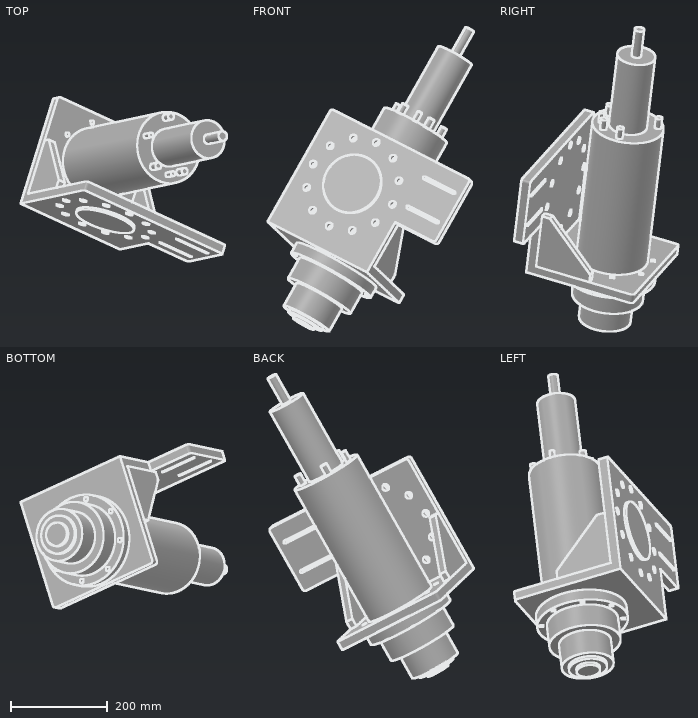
import cadquery as cq
import math


SPIN = -32.9
TILT = 30.0
AZIMUTH = 12.0

PLATE = 20.0
WIDTH = 250.0
DEPTH = 240.0
HEIGHT = 270.0
TAB_LENGTH = 100.0
TAB_BOTTOM = 120.0
CORNER = 6.0
AXIS_SETBACK = 140.0
LEFT = -WIDTH / 2
RIGHT = WIDTH / 2
FRONT = -AXIS_SETBACK

BOSS_RADIUS = 62.5
BOSS_HEIGHT = 5.0
BOSS_Z = 150.0
FACE_HOLE_COUNT = 12
FACE_HOLE_CIRCLE = 100.0
FACE_HOLE_RADIUS = 7.0

SLOT_LENGTH = 80.0
SLOT_WIDTH = 5.5
SLOT_X = 170.0
SLOT_PITCH = 70.0

GUSSET_LEG = 120.0
GUSSET_TOE = 17.5
GUSSET_THICKNESS = 15.0

FLANGE_RADIUS = 94.5
FLANGE_BOTTOM = -24.0
COLLAR_RADIUS = 74.5
COLLAR_BOTTOM = -73.0
NOSE_RADIUS = 54.0
NOSE_BOTTOM = -127.5
RING_RADIUS = 40.0
TIP_RADIUS = 24.5
TIP_STEP = 6.0
HOUSING_RADIUS = 74.5
HOUSING_TOP = 334.5
MOTOR_RADIUS = 40.0
MOTOR_TOP = 502.0
SHAFT_RADIUS = 10.0
SHAFT_TOP = 564.0

BOLT_COUNT = 8
BOLT_CIRCLE = 85.0
BOLT_HOLE_RADIUS = 4.5

CONNECTORS = [
    (4.0, 57.0, 7.0),
    (115.5, 62.5, 7.0),
    (178.0, 58.0, 5.0),
    (248.0, 56.0, 7.0),
    (287.0, 57.0, 5.0),
    (316.0, 56.0, 7.0),
]
CONNECTOR_HEIGHT = 23.0


def cylinder(radius, bottom, top):
    """An upright cylinder on the spindle axis."""
    return cq.Workplane("XY").workplane(offset=bottom).circle(radius).extrude(top - bottom)


def bolt_holes(bottom, top):
    """Cutters for the ring of flange bolts."""
    return (
        cq.Workplane("XY")
        .workplane(offset=bottom)
        .polarArray(BOLT_CIRCLE, 180 / BOLT_COUNT, 360, BOLT_COUNT)
        .circle(BOLT_HOLE_RADIUS)
        .extrude(top - bottom)
    )


def make_face_plate():
    """The upright plate with its tab, boss, hole circle and slots."""
    tab_end = RIGHT + TAB_LENGTH
    outline = [
        (LEFT, 0),
        (RIGHT, 0),
        (RIGHT, TAB_BOTTOM),
        (tab_end, TAB_BOTTOM),
        (tab_end, HEIGHT),
        (LEFT, HEIGHT),
    ]
    plane = cq.Workplane("XZ", origin=(0, FRONT, 0))
    plate = plane.polyline(outline).close().extrude(-PLATE)
    plate = plate.edges("|Y").edges(">X or (<X and >Z)").fillet(CORNER)
    boss = plane.center(0, BOSS_Z).circle(BOSS_RADIUS).extrude(BOSS_HEIGHT)
    holes = (
        plane.center(0, BOSS_Z)
        .polarArray(FACE_HOLE_CIRCLE, 0, 360, FACE_HOLE_COUNT)
        .circle(FACE_HOLE_RADIUS)
        .extrude(-PLATE)
    )
    slots = (
        plane.center(SLOT_X, (TAB_BOTTOM + HEIGHT) / 2)
        .rarray(6, SLOT_PITCH, 1, 2)
        .slot2D(SLOT_LENGTH, SLOT_WIDTH)
        .extrude(-PLATE)
    )
    return plate.union(boss).cut(holes).cut(slots)


def make_base_plate():
    """The flat plate that carries the spindle."""
    plate = cq.Workplane("XY").box(WIDTH, DEPTH, PLATE, centered=False).translate((LEFT, FRONT, 0))
    plate = plate.edges("|Z and >Y").fillet(CORNER)
    return plate.cut(cylinder(HOUSING_RADIUS, 0, PLATE)).cut(bolt_holes(0, PLATE))


def make_bracket():
    """Face plate and base plate as one L-shaped solid."""
    return make_face_plate().union(make_base_plate())


def make_gusset(x):
    """A triangular web with blunt toes, starting at x and filling the inner corner of the bracket."""
    return (
        cq.Workplane("YZ", origin=(x, FRONT + PLATE, PLATE))
        .polyline([
            (0, 0),
            (GUSSET_LEG, 0),
            (GUSSET_LEG, GUSSET_TOE),
            (GUSSET_TOE, GUSSET_LEG),
            (0, GUSSET_LEG),
        ])
        .close()
        .extrude(GUSSET_THICKNESS)
    )


def make_spindle():
    """Nose, flange, housing, motor and shaft in one piece, with the connectors on the housing."""
    ring_bottom = NOSE_BOTTOM - TIP_STEP
    spindle = cylinder(FLANGE_RADIUS, FLANGE_BOTTOM, 0).cut(bolt_holes(FLANGE_BOTTOM, 0))
    spindle = (
        spindle.union(cylinder(TIP_RADIUS, ring_bottom - TIP_STEP, ring_bottom))
        .union(cylinder(RING_RADIUS, ring_bottom, NOSE_BOTTOM))
        .union(cylinder(NOSE_RADIUS, NOSE_BOTTOM, COLLAR_BOTTOM))
        .union(cylinder(COLLAR_RADIUS, COLLAR_BOTTOM, FLANGE_BOTTOM))
        .union(cylinder(HOUSING_RADIUS, 0, HOUSING_TOP))
        .union(cylinder(MOTOR_RADIUS, HOUSING_TOP, MOTOR_TOP))
        .union(cylinder(SHAFT_RADIUS, MOTOR_TOP, SHAFT_TOP))
    )
    for angle, distance, radius in CONNECTORS:
        x = distance * math.cos(math.radians(angle))
        y = distance * math.sin(math.radians(angle))
        connector = cylinder(radius, HOUSING_TOP, HOUSING_TOP + CONNECTOR_HEIGHT)
        spindle = spindle.union(connector.translate((x, y, 0)))
    return spindle


def posed(body):
    """The body turned from the upright modelling position into its final one."""
    origin = (0, 0, 0)
    body = body.rotate(origin, (0, 0, 1), SPIN)
    body = body.rotate(origin, (0, 1, 0), TILT)
    return body.rotate(origin, (0, 0, 1), AZIMUTH)


bracket = make_bracket()
gussets = [make_gusset(x) for x in (LEFT, RIGHT - GUSSET_THICKNESS)]
spindle = make_spindle()

result = cq.Compound.makeCompound([posed(body).val() for body in [bracket, *gussets, spindle]])